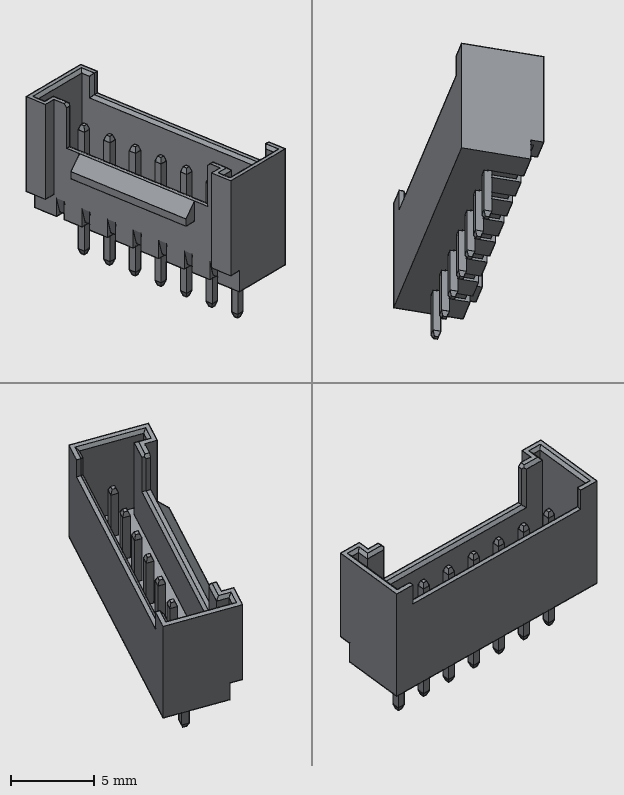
import cadquery as cq


WIDTH = 16.01
DEPTH = 5.1
HEIGHT = 8.0
WALL = 0.5
BODY_DEPTH = 4.3
LEG_WIDTH = 1.5
LEG_BOTTOM = 1.45
FLOOR_TOP = 1.5
BEVEL = 0.21

FRONT_OPENING_WIDTH = 11.0
FRONT_OPENING_BOTTOM = 5.0
BACK_OPENING_WIDTH = 13.4
BACK_OPENING_BOTTOM = 6.52

RIDGE_WIDTH = 9.0
RIDGE_EDGE_TOP = 4.1
RIDGE_BOTTOM = 3.6

PIN_COUNT = 7
PITCH = 2.0
PIN_SIZE = 0.5
PIN_Y = -2.1
PIN_TOP = 5.5
PIN_BOTTOM = -3.4
TIP_SIZE = 0.25
TIP_LENGTH = 0.35
NOTCH_WIDTH = 0.61
NOTCH_TOP = 1.26
NOTCH_SLOPE_DEPTH = 0.3
NOTCH_CEILING = 0.2

MARGIN = 0.8


def cavity_outline(wall):
    """Inside outline for a given wall thickness: a wide box reaching into the two front legs."""
    side = WIDTH / 2 - wall
    leg_side = WIDTH / 2 - LEG_WIDTH + wall
    back = -wall
    front = -BODY_DEPTH + wall
    leg_front = -DEPTH + wall
    return [
        (-side, back), (side, back), (side, leg_front), (leg_side, leg_front), (leg_side, front),
        (-leg_side, front), (-leg_side, leg_front), (-side, leg_front),
    ]


def box(width, y_back, y_front, z_bottom, z_top):
    """Box centred on X = 0 between the given Y and Z limits."""
    return (
        cq.Workplane("XY")
        .box(width, y_back - y_front, z_top - z_bottom, centered=(True, False, False))
        .translate((0, y_front, z_bottom))
    )


def make_housing():
    body = box(WIDTH, 0, -BODY_DEPTH, 0, HEIGHT)
    leg_x = (WIDTH - LEG_WIDTH) / 2
    for side in (-1, 1):
        leg = box(LEG_WIDTH, 0, -DEPTH, LEG_BOTTOM, HEIGHT)
        body = body.union(leg.translate((side * leg_x, 0, 0)))

    cavity = (
        cq.Workplane("XY", origin=(0, 0, FLOOR_TOP))
        .polyline(cavity_outline(WALL)).close()
        .extrude(HEIGHT - FLOOR_TOP)
    )
    mouth = (
        cq.Workplane("XY", origin=(0, 0, HEIGHT - BEVEL))
        .polyline(cavity_outline(WALL)).close()
        .workplane(offset=BEVEL)
        .polyline(cavity_outline(WALL - BEVEL)).close()
        .loft(ruled=True)
    )
    return body.cut(cavity).cut(mouth)


def opening_bevel(width, bottom, inner_y, outward):
    """Tapered cutter that bevels an opening's inner edges; outward is the Y sense toward outside."""
    def section(y, growth):
        half = width / 2 + growth
        corners = [(-half, bottom - growth), (half, bottom - growth),
                   (half, HEIGHT + MARGIN), (-half, HEIGHT + MARGIN)]
        return cq.Wire.makePolygon([cq.Vector(x, y, z) for x, z in corners], close=True)

    wires = [section(inner_y, BEVEL), section(inner_y + outward * BEVEL, 0)]
    return cq.Workplane(cq.Solid.makeLoft(wires, True))


def back_opening():
    opening = box(BACK_OPENING_WIDTH, MARGIN, -WALL, BACK_OPENING_BOTTOM, HEIGHT + MARGIN)
    return opening.union(opening_bevel(BACK_OPENING_WIDTH, BACK_OPENING_BOTTOM, -WALL, 1))


def front_opening():
    inner_y = -BODY_DEPTH + WALL
    half = FRONT_OPENING_WIDTH / 2
    profile = [
        (-half, FRONT_OPENING_BOTTOM), (half, FRONT_OPENING_BOTTOM), (half, HEIGHT - BEVEL),
        (half + BEVEL, HEIGHT), (-half - BEVEL, HEIGHT), (-half, HEIGHT - BEVEL),
    ]
    opening = (
        cq.Workplane("XZ", origin=(0, inner_y, 0))
        .polyline(profile).close()
        .extrude(WALL + MARGIN)
    )
    return opening.union(opening_bevel(FRONT_OPENING_WIDTH, FRONT_OPENING_BOTTOM, inner_y, -1))


def side_prism(profile, width):
    """Extrude a (Y, Z) profile symmetrically about X = 0."""
    return cq.Workplane("YZ").polyline(profile).close().extrude(width / 2, both=True)


def latch_ridge():
    return side_prism([
        (-BODY_DEPTH, FRONT_OPENING_BOTTOM), (-DEPTH, RIDGE_EDGE_TOP),
        (-DEPTH, RIDGE_BOTTOM), (-BODY_DEPTH, RIDGE_BOTTOM),
    ], RIDGE_WIDTH)


def pin_notch():
    """Sloped relief in the lower front edge, running back as a shallow groove to the pin."""
    slope_end = -BODY_DEPTH + NOTCH_SLOPE_DEPTH
    return side_prism([
        (-BODY_DEPTH, 0), (-BODY_DEPTH, NOTCH_TOP), (slope_end, NOTCH_CEILING),
        (PIN_Y, NOTCH_CEILING), (PIN_Y, 0),
    ], NOTCH_WIDTH)


def pin():
    """Square post with a tapered tip at each end."""
    def tip(base_z, end_z):
        return (
            cq.Workplane("XY", origin=(0, PIN_Y, base_z)).rect(PIN_SIZE, PIN_SIZE)
            .workplane(offset=end_z - base_z).rect(TIP_SIZE, TIP_SIZE)
            .loft(ruled=True)
        )

    shaft_top = PIN_TOP - TIP_LENGTH
    shaft_bottom = PIN_BOTTOM + TIP_LENGTH
    shaft = box(PIN_SIZE, PIN_Y + PIN_SIZE / 2, PIN_Y - PIN_SIZE / 2, shaft_bottom, shaft_top)
    return shaft.union(tip(shaft_top, PIN_TOP)).union(tip(shaft_bottom, PIN_BOTTOM))


result = make_housing().cut(back_opening()).cut(front_opening()).union(latch_ridge())

for index in range(PIN_COUNT):
    pin_offset = ((index - (PIN_COUNT - 1) / 2) * PITCH, 0, 0)
    result = result.cut(pin_notch().translate(pin_offset))
    result = result.union(pin().translate(pin_offset))